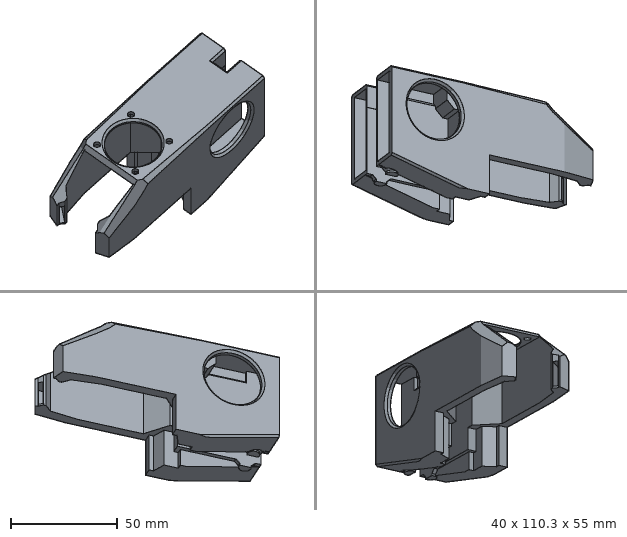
import cadquery as cq
import math

length = 110.3
width = 40.0
height = 55.0
half_width = width / 2

roof = 2.1
side_wall = 3.0
inner_half = 15.3
roof_bottom = height - roof

arm_bottom = 20.0
outer_bend_y = 18.3
inner_bend_y = 23.0
tip_outer = (18.5, 2.3)
tip_inner = (12.0, 0.0)
hook_root = (13.6, 8.2)
hook_crest_x = 10.2
hook_crest_back = 4.9
hook_crest_front = 3.4
tip_return = 1.3

pocket_bottom = 21.0
pocket_top = 33.3
pocket_mouth_inner = (10.3, 3.4)
pocket_mouth_outer = (11.9, 1.5)
pocket_deep_front = (17.5, 3.5)
pocket_deep_back = (18.1, 9.8)

slot_half = 4.5
bar_bottom = 42.9
notch_half = 4.4
notch_front = 101.4
notch_chamfer = 1.1

funnel_start_y = 55.5
funnel_end_y = 64.8

block_front = 58.4
block_ramp_start = 60.6
block_step = (9.2, 63.5)
shelf_front = 68.4
rail_front = 70.6
rail_inner = 6.5
shelf_bottom = 8.9

foot_x = 5.5
foot_y = 102.6
foot_radius = 3.0
foot_bottom = 6.0
foot_flare_z = 7.0

slope_start_y = 74.1
slope_back_z = 8.9
slope_chamfer = 1.0

cavity_inner = 5.6
cavity_front = 72.8
cavity_floor = 11.0
cavity_upper_front = 79.4
cavity_corner_top = 44.9
cavity_corner_bottom = 41.0
undercut_bottom = 46.2
undercut_back = 99.3
undercut = 1.8

side_hole_y = 87.4
side_hole_z = 37.0
side_hole_radius = 14.5
top_hole_y = 40.2
top_hole_radius = 13.5
hole_chamfer = 1.1
screw_spacing = 23.9
screw_diameter = 3.2

roof_front_y = 24.9
arm_slope_end = (1.5, 37.2)
crest_x = 16.1
edge_chamfer = 1.1
taper_start_y = 72.0
taper_end_y = 27.1
taper_end_chamfer = 2.4
hook_edge_x = 14.1
hook_lateral_slope = 0.31

cutter_size = 3 * length


def prism_z(points, bottom, top):
    """Plan outline (x, y) extruded between two heights."""
    return cq.Workplane("XY").workplane(offset=bottom).polyline(points).close().extrude(top - bottom)


def prism_x(points, start, end):
    """Side outline (y, z) extruded between two x positions."""
    return cq.Workplane("YZ").workplane(offset=start).polyline(points).close().extrude(end - start)


def block(x0, x1, y0, y1, z0, z1):
    """Box between two corners, given axis by axis."""
    return cq.Workplane("XY").box(x1 - x0, y1 - y0, z1 - z0, centered=False).translate((x0, y0, z0))


def half_space(point, normal):
    """Large solid covering the side of a plane toward which the normal points."""
    plane = cq.Plane(origin=point, normal=normal)
    return cq.Workplane(plane).rect(cutter_size, cutter_size).extrude(cutter_size)


arm_top_y = roof_front_y - roof
slope_run = arm_top_y - arm_slope_end[0]
slope_drop = roof_bottom - arm_slope_end[1]
slope_length = math.hypot(slope_run, slope_drop)
arm_normal_y = -slope_drop / slope_length
arm_normal_z = slope_run / slope_length


def make_arm():
    """Tapered arm with a hook at its tip, pocketed from the hook's front face."""
    outline = [
        (half_width, block_front),
        (half_width, outer_bend_y),
        tip_outer,
        tip_inner,
        (tip_inner[0], tip_return),
        (hook_crest_x, hook_crest_front),
        (hook_crest_x, hook_crest_back),
        hook_root,
        (inner_half, inner_bend_y),
        (inner_half, block_front),
    ]
    arm = prism_z(outline, arm_bottom, height)
    pocket = [
        pocket_mouth_inner,
        (hook_crest_x, tip_return),
        pocket_mouth_outer,
        pocket_deep_front,
        pocket_deep_back,
    ]
    arm = arm.cut(prism_z(pocket, pocket_bottom, pocket_top))
    hook_normal = (-hook_lateral_slope, arm_normal_y, arm_normal_z)
    hook_zone = block(0, hook_edge_x, 0, inner_bend_y, 0, height)
    hook_cut = half_space((hook_edge_x, arm_top_y, roof_bottom), hook_normal)
    return arm.cut(hook_cut.intersect(hook_zone))


def make_body():
    """Right half of the rear body, including roof, funnel wall and lower block."""
    upper = prism_z(
        [
            (half_width, funnel_start_y),
            (inner_half, funnel_start_y),
            (slot_half, funnel_end_y),
            (slot_half, length),
            (half_width, length),
        ],
        arm_bottom,
        height,
    )
    lower = prism_z(
        [
            (half_width, block_front),
            (inner_half, block_front),
            (inner_half, block_ramp_start),
            block_step,
            (block_step[0], shelf_front),
            (slot_half, shelf_front),
            (slot_half, length),
            (half_width, length),
        ],
        0,
        arm_bottom,
    )
    top = block(0, half_width, 0, length, roof_bottom, height)
    bar = block(0, slot_half, funnel_end_y, length, bar_bottom, height)
    return upper.union(lower).union(top).union(bar)


def make_cavity():
    """Side cavity behind the outer wall, open at the back and deeper near the roof."""
    corner_run = cavity_corner_top - cavity_corner_bottom
    main = prism_x(
        [
            (cavity_front, cavity_floor),
            (length, cavity_floor),
            (length, roof_bottom),
            (cavity_upper_front, roof_bottom),
            (cavity_upper_front, cavity_corner_top),
            (cavity_upper_front - corner_run, cavity_corner_bottom),
            (cavity_front, cavity_corner_bottom),
        ],
        cavity_inner,
        half_width - side_wall,
    )
    deep_x = cavity_inner - undercut
    upper = (
        cq.Workplane("XZ", origin=(0, undercut_back, 0))
        .polyline([
            (cavity_inner, undercut_bottom),
            (cavity_inner, roof_bottom),
            (deep_x, roof_bottom),
            (deep_x, undercut_bottom + undercut),
        ])
        .close()
        .extrude(undercut_back - cavity_upper_front)
    )
    return main.union(upper)


def make_foot():
    """Upright round foot with a 45-degree flare, flush with the slot wall."""
    flare = shelf_bottom - foot_flare_z
    profile = [
        (0, foot_bottom),
        (foot_radius, foot_bottom),
        (foot_radius, foot_flare_z),
        (foot_radius + flare, shelf_bottom),
        (0, shelf_bottom),
    ]
    foot = cq.Workplane("XZ").polyline(profile).close().revolve(360, (0, 0, 0), (0, 1, 0))
    foot = foot.translate((foot_x, foot_y, 0))
    return foot.intersect(block(slot_half, half_width, 0, length, 0, height))


def edge_cuts():
    """Large cutters that bevel the outer edges of the right half."""
    root2 = math.sqrt(2)
    growth = (taper_end_chamfer - edge_chamfer) / (taper_start_y - taper_end_y)
    under_length = math.hypot(length - slope_start_y, slope_back_z)
    under_y = slope_back_z / under_length
    under_z = -(length - slope_start_y) / under_length
    roof_front = (crest_x, roof_front_y, height)
    arm_top = (crest_x, arm_top_y, roof_bottom)
    edge_start = (half_width - edge_chamfer, taper_start_y, height)
    under_start = (half_width, slope_start_y, 0)
    under_edge = (half_width - slope_chamfer, slope_start_y, 0)
    roof_corner = half_space(roof_front, (1, -1 / root2, 1 / root2))
    arm_corner = half_space(arm_top, (1, arm_normal_y, arm_normal_z))
    roof_bevel = half_space(roof_front, (0, -1, 1))
    arm_slope = half_space(arm_top, (0, arm_normal_y, arm_normal_z))
    return [
        roof_bevel.intersect(arm_slope),
        half_space(edge_start, (1, 0, 1)),
        half_space(edge_start, (1, -growth, 1)),
        roof_corner.intersect(arm_corner),
        half_space(under_start, (0, under_y, under_z)),
        half_space(under_edge, (1, under_y, under_z)),
    ]


def beveled_hole(plane, radius, depth):
    """Drill that enters at the plane origin and widens toward the surface."""
    mouth = radius + hole_chamfer
    drill = cq.Workplane(plane).circle(radius).extrude(-depth)
    cone = cq.Solid.makeCone(mouth, radius, hole_chamfer, plane.origin, plane.zDir * -1)
    return drill.union(cq.Workplane(cone))


half = make_body().union(make_arm())
half = half.cut(make_cavity())

half = half.cut(block(0, rail_inner, 0, length, 0, shelf_bottom))
half = half.cut(block(0, block_step[0], shelf_front, rail_front, 0, shelf_bottom))

for bevel in edge_cuts():
    half = half.cut(bevel)
half = half.union(make_foot())

half = half.cut(block(0, notch_half, notch_front, length, 0, height))
rim = (
    cq.Workplane("XY", origin=(0, length, height))
    .rect(2 * (notch_half + notch_chamfer), 2 * (length - notch_front + notch_chamfer))
    .workplane(offset=-notch_chamfer)
    .rect(2 * notch_half, 2 * (length - notch_front))
    .loft(ruled=True)
)
half = half.cut(rim)

side_plane = cq.Plane(origin=(half_width, side_hole_y, side_hole_z), normal=(1, 0, 0))
half = half.cut(beveled_hole(side_plane, side_hole_radius, side_wall))

result = half.union(half.mirror("YZ"))

top_plane = cq.Plane(origin=(0, top_hole_y, height), normal=(0, 0, 1))
result = result.cut(beveled_hole(top_plane, top_hole_radius, roof))
screws = cq.Workplane(top_plane).rect(screw_spacing, screw_spacing, forConstruction=True).vertices()
result = result.cut(screws.circle(screw_diameter / 2).extrude(-roof))